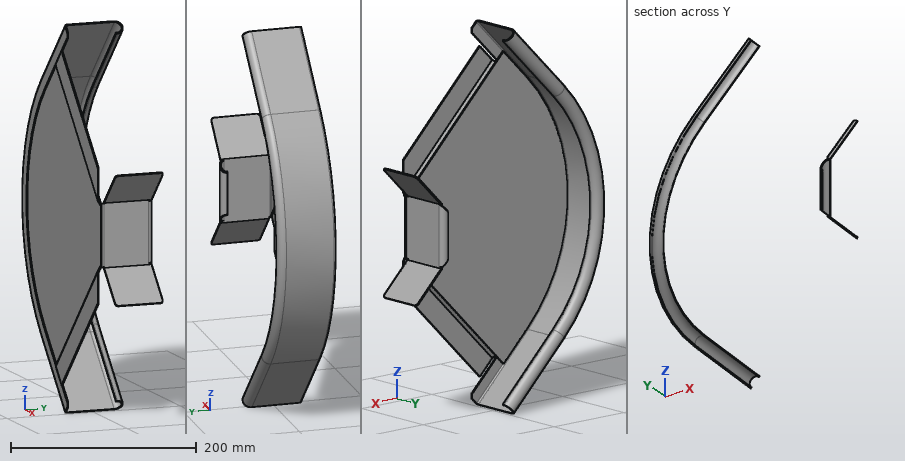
import cadquery as cq
import math


SIN45 = math.sin(math.radians(45))

sheet = 1.5
outer_radius = 200.0
overall_depth = 66.75

rail_height = 65.0
rail_bottom = overall_depth - rail_height
rail_straight = 101.5
rail_flange = 15.0
rail_bend = 3.0
rail_lip_radius = 8.25
rail_lip_leg = 1.5
rail_corner_cut = 4.0

floor_bottom = rail_bottom + sheet
floor_top = floor_bottom + sheet
floor_radius = outer_radius - rail_bend
joggle_start = 48.0
joggle_end = 52.0
tab_length = 25.0
tab_end = joggle_end + tab_length
tab_gap = 3.0
tab_width = outer_radius - rail_flange - tab_gap

wing_end = 100.0
wing_start = 49.5
wing_distance = 0.355
wing_height = 55.0
wing_rise = 2.75
wing_bottom = floor_top + wing_rise
wing_corner = 3.5
corner_x = wing_start * SIN45
corner_z = corner_x + wing_distance / SIN45
corner_height = 59.75
corner_flange = 21.0
corner_bend = 2.0
corner_lip_radius = 6.0
corner_lip_leg = 1.0


def leg_point(distance, run):
    """(x, z) of a point on the upper straight leg."""
    return ((run - distance) * SIN45, (run + distance) * SIN45)


def lower(point):
    """The point mirrored to the other side of z = 0."""
    return (point[0], -point[1])


def extrude_y(outline, y_start, y_end):
    """Prism of an XZ outline between two Y levels."""
    sketch = cq.Workplane("XZ", origin=(0, y_start, 0)).polyline(outline).close()
    return sketch.extrude(y_start - y_end)


def with_mirror(body, upper_piece):
    """Joins a piece and its copy below z = 0 to a body."""
    return body.union(upper_piece).union(upper_piece.mirror("XY"))


def rail_section(plane, height, flange, bend, lip_radius, lip_leg):
    """Flange, wall and rolled lip: local x runs inward, local y up from the underside."""
    lip_y = height - lip_radius
    lip_width = 2 * lip_radius
    leg_y = lip_y - lip_leg
    outer_bend_mid = bend * (1 - SIN45)
    inner_bend_mid = bend - (bend - sheet) * SIN45
    return (
        cq.Workplane(plane)
        .moveTo(flange, 0)
        .lineTo(bend, 0)
        .threePointArc((outer_bend_mid, outer_bend_mid), (0, bend))
        .lineTo(0, lip_y)
        .threePointArc((lip_radius, height), (lip_width, lip_y))
        .lineTo(lip_width, leg_y)
        .lineTo(lip_width - sheet, leg_y)
        .lineTo(lip_width - sheet, lip_y)
        .threePointArc((lip_radius, height - sheet), (sheet, lip_y))
        .lineTo(sheet, bend)
        .threePointArc((inner_bend_mid, inner_bend_mid), (bend, sheet))
        .lineTo(flange, sheet)
        .close()
    )


def make_outer_rail():
    """Rail section swept along straight, arc and straight, with chamfered flange corners."""
    leg_end = leg_point(outer_radius, rail_straight)
    arc_end = leg_point(outer_radius, 0)

    path = (
        cq.Workplane("XZ", origin=(0, rail_bottom, 0))
        .moveTo(*leg_end)
        .lineTo(*arc_end)
        .threePointArc((-outer_radius, 0), lower(arc_end))
        .lineTo(*lower(leg_end))
    )
    section_plane = cq.Plane(
        origin=(leg_end[0], rail_bottom, leg_end[1]),
        xDir=(1, 0, -1),
        normal=(1, 0, 1),
    )
    rail = rail_section(
        section_plane, rail_height, rail_flange, rail_bend, rail_lip_radius, rail_lip_leg
    ).sweep(path)

    flange_edge = outer_radius - rail_flange
    corner = extrude_y(
        [
            leg_point(flange_edge, rail_straight),
            leg_point(flange_edge, rail_straight - rail_corner_cut),
            leg_point(flange_edge + rail_corner_cut, rail_straight),
        ],
        rail_bottom,
        floor_bottom,
    )
    return rail.cut(corner).cut(corner.mirror("XY"))


def make_tab():
    """Sloped step and tab at the upper end of the floor plate, cut off along the plate edge."""
    section_plane = cq.Plane(origin=(0, 0, 0), xDir=(1, 0, 1), normal=(-1, 0, 1))
    strip = (
        cq.Workplane(section_plane)
        .moveTo(joggle_start, floor_bottom)
        .lineTo(joggle_end, 0)
        .lineTo(tab_end, 0)
        .lineTo(tab_end, sheet)
        .lineTo(joggle_end, sheet)
        .lineTo(joggle_start, floor_top)
        .close()
        .extrude(tab_width, both=True)
    )
    keep = extrude_y(
        [
            (corner_x, 0),
            (corner_x, 2 * outer_radius),
            (-outer_radius, 2 * outer_radius),
            (-outer_radius, 0),
        ],
        0,
        floor_top,
    )
    return strip.intersect(keep)


def make_floor():
    """Plate inside the rail bend with a stepped-down tab at each end."""
    arc_end = leg_point(floor_radius, 0)
    joggle_outer = leg_point(floor_radius, joggle_start)
    joggle_inner = (corner_x, joggle_start / SIN45 - corner_x)
    plate = (
        cq.Workplane("XZ", origin=(0, floor_bottom, 0))
        .moveTo(*joggle_inner)
        .lineTo(*joggle_outer)
        .lineTo(*arc_end)
        .threePointArc((-floor_radius, 0), lower(arc_end))
        .lineTo(*lower(joggle_outer))
        .lineTo(*lower(joggle_inner))
        .close()
        .extrude(-sheet)
    )
    return with_mirror(plate, make_tab())


def make_wing():
    """Upper splice wing with rounded free corners, mitred to the corner wall."""
    far_face = wing_distance + sheet
    inner_x = corner_x - sheet
    wing = extrude_y(
        [
            (corner_x, corner_z),
            leg_point(wing_distance, wing_end),
            leg_point(far_face, wing_end),
            (inner_x, inner_x + far_face / SIN45),
            (inner_x, corner_z - sheet),
        ],
        wing_bottom,
        wing_bottom + wing_height,
    )
    return wing.faces(">(1, 0, 1)").edges("|(1, 0, -1)").fillet(wing_corner)


def make_inner_rail():
    """Corner wall with flange and lip tapering inward at 45 degrees, and a wing on each side."""
    section_plane = cq.Plane(
        origin=(corner_x, floor_top, 0),
        xDir=(-1, 0, 0),
        normal=(0, 0, -1),
    )
    wall = rail_section(
        section_plane, corner_height, corner_flange, corner_bend, corner_lip_radius, corner_lip_leg
    ).extrude(corner_z, both=True)
    outside = (corner_x, corner_z)
    inside = (corner_x - corner_flange, corner_z - corner_flange)
    taper = extrude_y([outside, inside, lower(inside), lower(outside)], floor_top, overall_depth)
    return with_mirror(wall.intersect(taper), make_wing())


outer_rail = make_outer_rail()
floor = make_floor()
inner_rail = make_inner_rail()

result = cq.Compound.makeCompound([body.solids().val() for body in (outer_rail, floor, inner_rail)])